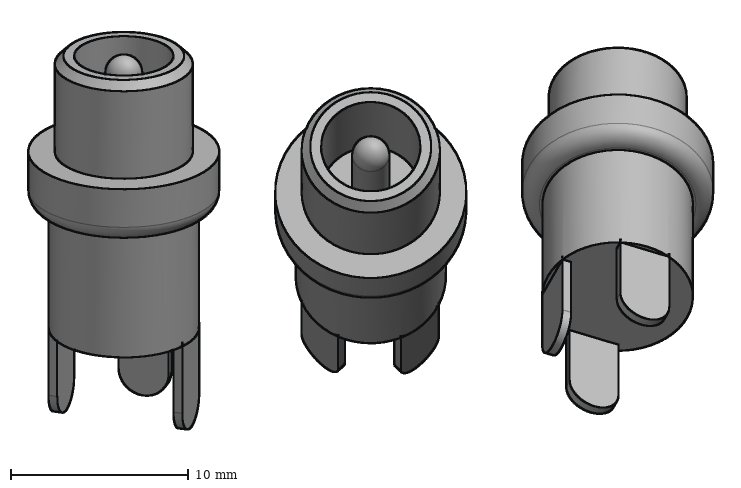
import cadquery as cq

total_height = 22.3
body_bottom = 5.6
flange_bottom = 13.11
flange_top = 16.44

body_diameter = 8.5
flange_diameter = 10.8
flange_rounding = 0.98
neck_diameter = 7.8
neck_chamfer = 0.5

bore_diameter = 5.6
bore_depth = total_height - flange_top
pin_diameter = 2.1

tab_width = 2.99
tab_thickness = 0.54
tab_center_radius = 3.72
tab_overlap = 0.22
tab_angles = (0, 90, 180)


def cylinder(diameter, bottom, top):
    return cq.Workplane("XY").workplane(offset=bottom).circle(diameter / 2).extrude(top - bottom)


def make_body():
    lower = cylinder(body_diameter, body_bottom, flange_bottom)
    flange = cylinder(flange_diameter, flange_bottom, flange_top).faces("<Z").edges().fillet(flange_rounding)
    neck = cylinder(neck_diameter, flange_top, total_height).faces(">Z").edges().chamfer(neck_chamfer)
    bore = cylinder(bore_diameter, total_height - bore_depth, total_height)
    return lower.union(flange).union(neck).cut(bore)


def make_pin():
    """Centre pin with a hemispherical tip level with the rim."""
    radius = pin_diameter / 2
    tip_center = total_height - radius
    shaft = cylinder(pin_diameter, total_height - bore_depth, tip_center)
    tip = cq.Workplane("XY").sphere(radius).translate((0, 0, tip_center))
    return shaft.union(tip)


def make_tab(angle):
    """Flat tab with a full-round lower end, facing radially outward."""
    half_width = tab_width / 2
    top = body_bottom + tab_overlap
    return (
        cq.Workplane("YZ")
        .moveTo(-half_width, top)
        .lineTo(-half_width, half_width)
        .threePointArc((0, 0), (half_width, half_width))
        .lineTo(half_width, top)
        .close()
        .extrude(tab_thickness / 2, both=True)
        .translate((tab_center_radius, 0, 0))
        .rotate((0, 0, 0), (0, 0, 1), angle)
    )


result = make_body().union(make_pin())
for tab_angle in tab_angles:
    result = result.union(make_tab(tab_angle))